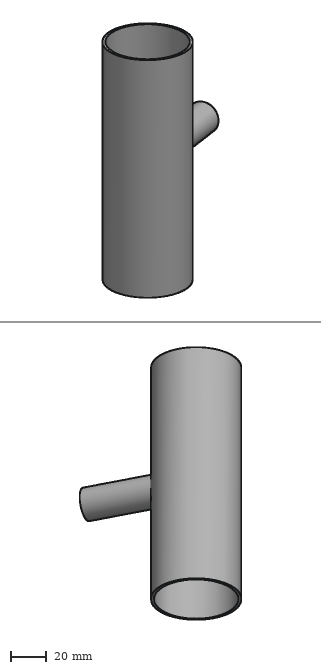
import cadquery as cq

pipe_length = 146.0
pipe_diameter = 50.8
pipe_wall = 1.8

branch_diameter = 19.3
branch_reach = 66.7
weld_size = 0.9

pipe_bore = pipe_diameter - 2 * pipe_wall


def pipe_cylinder(diameter):
    """Cylinder along the main pipe axis, centred on the origin."""
    return cq.Workplane("XY").circle(diameter / 2).extrude(pipe_length / 2, both=True)


def branch_cylinder():
    """Cylinder along +Y from the main pipe axis to the branch end."""
    return cq.Workplane("XZ").circle(branch_diameter / 2).extrude(-branch_reach)


outside = pipe_cylinder(pipe_diameter).union(branch_cylinder())
joint_box = cq.selectors.BoxSelector(
    (-branch_diameter, 0, -branch_diameter),
    (branch_diameter, pipe_diameter / 2 + weld_size, branch_diameter),
)
outside = outside.edges(joint_box).fillet(weld_size)

result = outside.cut(pipe_cylinder(pipe_bore))